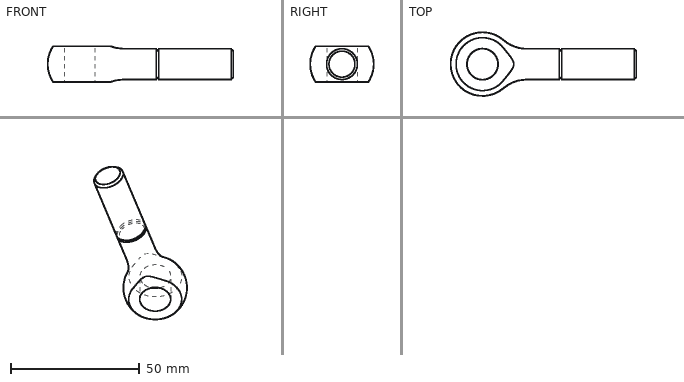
import cadquery as cq
import math

length = 72.45
ball_radius = 12.45
eye_thickness = 14.0
bore_diameter = 12.0
shank_radius = 6.0
neck_radius = 14.0
thread_length = 30.0
chamfer = 0.95

shank_end = length - ball_radius
thread_start = shank_end - thread_length
chamfer_radius = shank_radius - chamfer

neck_center_y = shank_radius + neck_radius
neck_end = math.sqrt((ball_radius + neck_radius) ** 2 - neck_center_y ** 2)
neck_angle = math.atan2(neck_center_y, neck_end)


def ball_point(angle):
    return (ball_radius * math.cos(angle), ball_radius * math.sin(angle))


def neck_point(angle):
    return (
        neck_end + neck_radius * math.cos(angle),
        neck_center_y + neck_radius * math.sin(angle),
    )


def turned_body():
    """Ball, neck and shank as one revolved profile about the X axis."""
    neck_start_angle = neck_angle - math.pi
    neck_middle_angle = (neck_start_angle - math.pi / 2) / 2
    profile = (
        cq.Workplane("XY")
        .moveTo(-ball_radius, 0)
        .threePointArc(ball_point((math.pi + neck_angle) / 2), ball_point(neck_angle))
        .threePointArc(neck_point(neck_middle_angle), (neck_end, shank_radius))
        .lineTo(thread_start, shank_radius)
        .lineTo(thread_start, chamfer_radius)
        .lineTo(thread_start + chamfer, shank_radius)
        .lineTo(shank_end - chamfer, shank_radius)
        .lineTo(shank_end, chamfer_radius)
        .lineTo(shank_end, 0)
        .close()
    )
    return profile.revolve(360, (0, 0, 0), (1, 0, 0))


flat_envelope = cq.Workplane("XY").box(2 * length, 2 * length, eye_thickness)

bore = cq.Workplane("XY").cylinder(eye_thickness, bore_diameter / 2)

result = turned_body().intersect(flat_envelope).cut(bore)